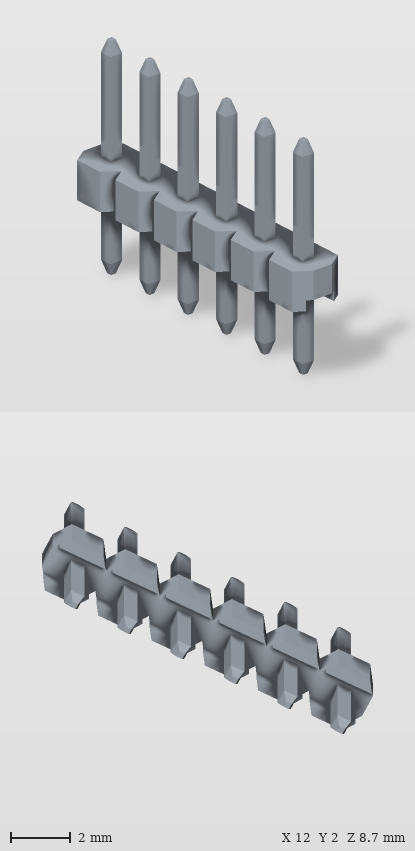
import cadquery as cq

pin_count = 6
row_length = 12.0
pitch = row_length / pin_count
cell_depth = pitch
housing_height = 1.5
corner_x = 0.41
corner_y = 0.6

foot_height = 0.41
foot_thickness = 0.4

pin_width = 0.5
pin_above = 4.4
pin_below = 2.8
taper_length = 0.5
tip_width = 0.2


def pin_positions():
    first = -(pin_count - 1) * pitch / 2
    return [(first + i * pitch, 0) for i in range(pin_count)]


def make_housing():
    half_x = pitch / 2
    half_y = cell_depth / 2
    flat_x = half_x - corner_x
    flat_y = half_y - corner_y
    cell = (
        cq.Workplane("XY")
        .polyline([
            (-half_x, -flat_y),
            (-flat_x, -half_y),
            (flat_x, -half_y),
            (half_x, -flat_y),
            (half_x, flat_y),
            (flat_x, half_y),
            (-flat_x, half_y),
            (-half_x, flat_y),
        ])
        .close()
        .extrude(housing_height)
    )
    housing = cq.Workplane("XY")
    for x, y in pin_positions():
        housing = housing.union(cell.translate((x, y, 0)))

    channel_width = cell_depth - 2 * foot_thickness
    channel = cq.Workplane("XY").box(
        row_length, channel_width, foot_height, centered=(True, True, False)
    )
    return housing.cut(channel).clean()


def make_taper(base_z, end_z):
    """Square frustum from the full pin width at base_z to the tip at end_z."""
    return (
        cq.Workplane("XY", origin=(0, 0, base_z))
        .rect(pin_width, pin_width)
        .workplane(offset=end_z - base_z)
        .rect(tip_width, tip_width)
        .loft(ruled=True)
    )


def make_pin():
    bottom = -pin_below
    top = housing_height + pin_above
    shank_bottom = bottom + taper_length
    shank_top = top - taper_length
    shank = (
        cq.Workplane("XY", origin=(0, 0, shank_bottom))
        .rect(pin_width, pin_width)
        .extrude(shank_top - shank_bottom)
    )
    return shank.union(make_taper(shank_top, top)).union(make_taper(shank_bottom, bottom))


result = make_housing()
pin = make_pin()
for x, y in pin_positions():
    result = result.union(pin.translate((x, y, 0)))